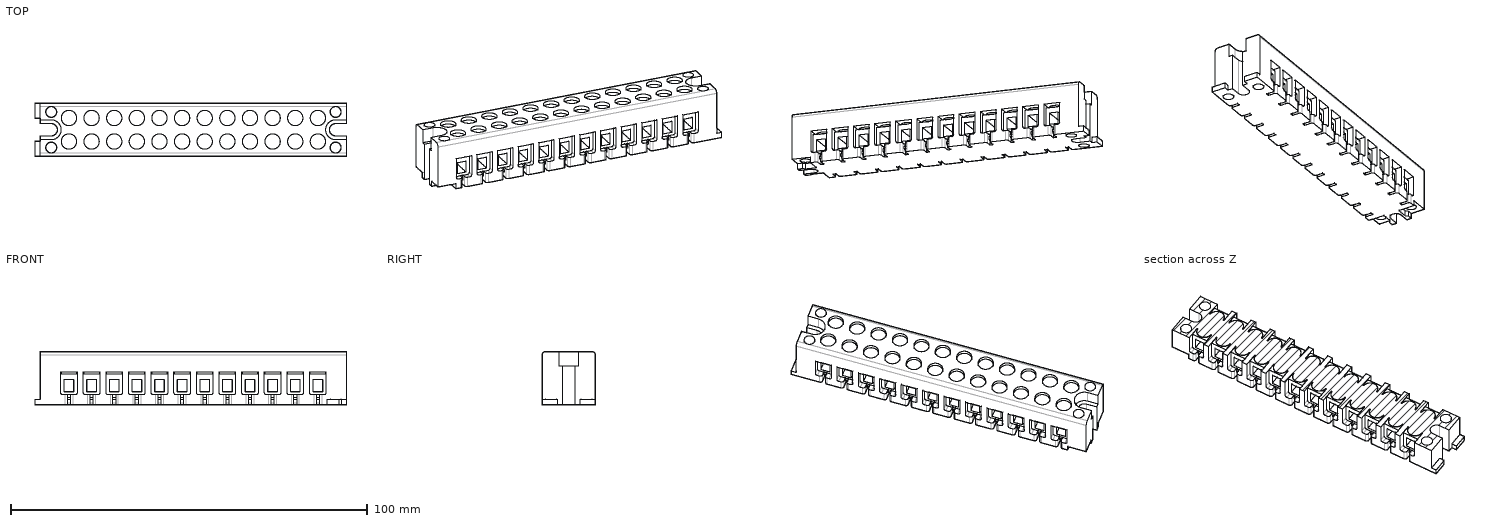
import cadquery as cq

body_length = 86.0
body_width = 15.0
body_height = 15.0
top_edge_radius = 1.0

tab_length = 1.5
tab_width = 4.3
tab_height = 1.6
notch_length = 5.5
notch_step = 0.7

end_offset = 3.1
slot_width = 3.4
slot_counterbore_width = 5.6
slot_counterbore_depth = 4.0
corner_hole_diameter = 3.0
corner_hole_y = 5.0

terminal_count = 12
terminal_pitch = 6.35
screw_diameter = 4.3
screw_y = 3.3
screw_recess_depth = 1.0

pocket_width = 4.7
pocket_bottom = 2.9
pocket_top = 9.3
pocket_depth = 1.7
pocket_corner_radius = 0.6
clamp_top = 8.7
window_width = 2.65
window_bottom = 3.75
window_top = 7.1

nose_depth = 1.0
nose_front_top = 2.1
nose_front_bottom = 1.5

groove_width = 0.9
groove_depth = pocket_depth + nose_depth
flare_radius = 0.65

half_length = body_length / 2
half_width = body_width / 2
terminal_positions = [
    (index - (terminal_count - 1) / 2) * terminal_pitch for index in range(terminal_count)
]


def box(x_min, x_max, y_min, y_max, z_min, z_max):
    """Axis-aligned box between two opposite corners."""
    size = (x_max - x_min, y_max - y_min, z_max - z_min)
    return cq.Workplane("XY").box(*size, centered=False).translate((x_min, y_min, z_min))


def cylinder(x, y, diameter, z_min, z_max):
    """Upright cylinder."""
    return cq.Workplane("XY", origin=(x, y, z_min)).circle(diameter / 2).extrude(z_max - z_min)


def make_body():
    """Block with rounded long top edges."""
    block = box(-half_length, half_length, -half_width, half_width, 0, body_height)
    return block.edges("|X and >Z").fillet(top_edge_radius)


def make_tab():
    """Locating tab at the foot of the -X end, on the -Y side."""
    return box(-half_length - tab_length, -half_length, -half_width, tab_width - half_width, 0, tab_height)


def make_notch():
    """Notch that takes a tab, deepened inwards by a sloping step, on the -Y side of the +X end."""
    outer_y = -half_width
    tab_pocket_y = outer_y + tab_width
    step_x = half_length - tab_length
    outline = [
        (half_length, outer_y),
        (half_length, tab_pocket_y),
        (step_x, tab_pocket_y),
        (step_x - notch_step, tab_pocket_y + notch_step),
        (half_length - notch_length, tab_pocket_y + notch_step),
        (half_length - notch_length, outer_y),
    ]
    return cq.Workplane("XY").polyline(outline).close().extrude(tab_height)


def end_slot(width, z_min):
    """Round-bottomed slot open to the -X end and to the top."""
    slot_centre = end_offset - half_length
    straight = box(-half_length, slot_centre, -width / 2, width / 2, z_min, body_height)
    return straight.union(cylinder(slot_centre, 0, width, z_min, body_height))


def make_end_slot():
    """Through slot with a wider step at the top, for a screw head."""
    counterbore = end_slot(slot_counterbore_width, body_height - slot_counterbore_depth)
    return end_slot(slot_width, 0).union(counterbore)


def make_pocket():
    """Wire entry pocket with rounded lower corners, on the -Y side at X = 0."""
    pocket = box(-pocket_width / 2, pocket_width / 2,
                 -half_width, pocket_depth - half_width, pocket_bottom, pocket_top)
    return pocket.edges("|Y and <Z").fillet(pocket_corner_radius)


def make_clamp_gap():
    """Gap between the clamp and the pocket ceiling, reaching back around the screw."""
    gap = box(-pocket_width / 2, pocket_width / 2, -half_width, -screw_y, clamp_top, pocket_top)
    return gap.cut(cylinder(0, -screw_y, screw_diameter, clamp_top, pocket_top))


def make_groove():
    """Upright groove below the pocket, its mouth flared by a rounding on each side."""
    half_throat = groove_width / 2
    half_mouth = half_throat + flare_radius
    mouth_y = -half_width
    throat_y = mouth_y + flare_radius
    back_y = mouth_y + groove_depth
    flare_middle = flare_radius * (1 - 0.5 ** 0.5)
    outline = (
        cq.Workplane("XY")
        .moveTo(-half_mouth, mouth_y)
        .threePointArc((-half_throat - flare_middle, mouth_y + flare_middle), (-half_throat, throat_y))
        .lineTo(-half_throat, back_y)
        .lineTo(half_throat, back_y)
        .lineTo(half_throat, throat_y)
        .threePointArc((half_throat + flare_middle, mouth_y + flare_middle), (half_mouth, mouth_y))
        .close()
    )
    return outline.extrude(pocket_bottom)


def make_nose():
    """Nose left standing across the groove, its underside a quarter-round hollow."""
    back_y = groove_depth - half_width
    front_y = back_y - nose_depth
    hollow_bottom = nose_front_bottom - nose_depth
    hollow_reach = nose_depth * 0.5 ** 0.5
    profile = (
        cq.Workplane("YZ")
        .moveTo(back_y, pocket_bottom)
        .lineTo(front_y, nose_front_top)
        .lineTo(front_y, nose_front_bottom)
        .threePointArc((front_y + hollow_reach, hollow_bottom + hollow_reach), (back_y, hollow_bottom))
        .close()
    )
    return profile.extrude(groove_width / 2 + flare_radius, both=True)


def make_window():
    """Rectangular wire passage through the full width at X = 0."""
    return box(-window_width / 2, window_width / 2, -half_width, half_width, window_bottom, window_top)


def make_screw_recess():
    """Round recess above one clamping screw, on the -Y side at X = 0."""
    return cylinder(0, -screw_y, screw_diameter, body_height - screw_recess_depth, body_height)


def both_sides(shape):
    """The shape together with its mirror image across the XZ plane."""
    return shape.union(shape.mirror("XZ"))


def both_ends(shape):
    """The shape together with its mirror image across the YZ plane."""
    return shape.union(shape.mirror("YZ"))


nosed_groove = make_groove().cut(make_nose())
side_cut = make_pocket().union(make_clamp_gap()).union(nosed_groove).union(make_screw_recess())
terminal_cut = both_sides(side_cut).union(make_window())
corner_hole = cylinder(end_offset - half_length, -corner_hole_y, corner_hole_diameter, 0, body_height)

result = make_body().union(both_sides(make_tab()))
result = result.cut(both_sides(make_notch()))
result = result.cut(both_ends(make_end_slot()))
result = result.cut(both_ends(both_sides(corner_hole)))
for terminal_x in terminal_positions:
    result = result.cut(terminal_cut.translate((terminal_x, 0, 0)))